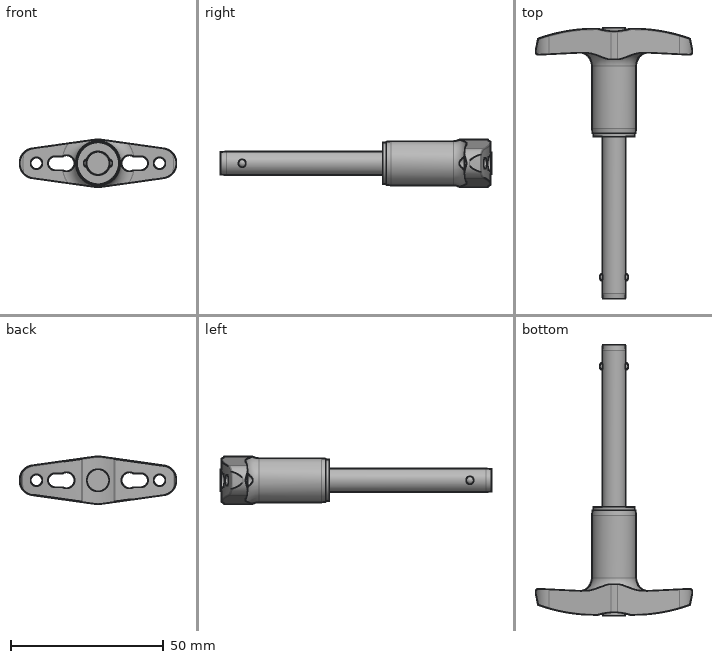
import cadquery as cq
import math


pin_radius = 3.9
pin_length = 53.2
tip_radius = 3.7
tip_length = 1.9
ball_radius = 1.3
ball_reach = 4.7
ball_y = -46.1

sleeve_radius = 7.3
collar_radius = 6.85
collar_length = 1.2
taper_radius = 7.1
taper_end_y = 2.8
flare_radius = 4.4
flare_start_y = 23.2

back_y = 35.8
button_radius = 3.65
center_width = 15.75
end_radius = 5.0
handle_length = 51.5

crest_x = 6.2
crest_y = back_y - 0.3
crown_radius = 54.3
valley_edge_x = 5.3
valley_y = back_y - 1.2
crest_blend = 1.3
back_rim_fillet = 0.3

underside_slope = 0.055
top_radius = 25.0
end_draft = 0.2
end_corner_radius = 1.1

slot_radius = 2.2
slot_outer_x = 14.15
slot_bore_radius = 2.6
slot_bore_x = 10.3
lanyard_hole_radius = 1.9
lanyard_hole_x = 20.2

center_radius = center_width / 2
half_length = handle_length / 2
end_x = half_length - end_radius


def cylinder_y(radius, height, x):
    """Cylinder from Y = 0 toward +Y, with its axis at the given X."""
    return cq.Workplane("XZ").center(x, 0).circle(radius).extrude(-height)


def revolve_about_pin_axis(profile):
    return profile.close().revolve(360, (0, 0, 0), (0, 1, 0))


def crown_y(x):
    """Y of the crowned back at a distance from the middle of the handle."""
    return crest_y - crown_radius + math.sqrt(crown_radius**2 - (x - crest_x) ** 2)


def make_plan_prism():
    """Tangent outline around one large and two small circles, through the whole handle depth."""
    lean = math.asin((center_radius - end_radius) / end_x)
    near_x = center_radius * math.sin(lean)
    near_z = center_radius * math.cos(lean)
    far_x = end_x + end_radius * math.sin(lean)
    far_z = end_radius * math.cos(lean)
    return (
        cq.Workplane("XZ")
        .moveTo(-near_x, near_z)
        .threePointArc((0, center_radius), (near_x, near_z))
        .lineTo(far_x, far_z)
        .threePointArc((half_length, 0), (far_x, -far_z))
        .lineTo(near_x, -near_z)
        .threePointArc((0, -center_radius), (-near_x, -near_z))
        .lineTo(-far_x, -far_z)
        .threePointArc((-half_length, 0), (-far_x, far_z))
        .close()
        .extrude(-back_y)
    )


def make_crown_prism():
    """Everything below the crowned back, with a thumb valley between two crests."""
    crown_end_y = crown_y(half_length)
    mid_x = (crest_x + half_length) / 2
    valley_edge_y = crown_y(valley_edge_x)
    prism = (
        cq.Workplane("XY")
        .moveTo(-half_length, 0)
        .lineTo(-half_length, crown_end_y)
        .threePointArc((-mid_x, crown_y(mid_x)), (-valley_edge_x, valley_edge_y))
        .threePointArc((0, valley_y), (valley_edge_x, valley_edge_y))
        .threePointArc((mid_x, crown_y(mid_x)), (half_length, crown_end_y))
        .lineTo(half_length, 0)
        .close()
        .extrude(center_radius, both=True)
    )
    for side in (-1, 1):
        crest = cq.selectors.NearestToPointSelector((side * valley_edge_x, valley_edge_y, 0))
        prism = prism.edges("|Z").edges(crest).fillet(crest_blend)
    return prism


def make_turned_blank():
    """Disc with a conical underside that flares out of the sleeve, and a drafted, rounded rim."""
    lean = math.atan(underside_slope)
    flare_center_x = sleeve_radius + flare_radius
    flare_end_x = flare_center_x + flare_radius * math.sin(lean)
    flare_end_y = flare_start_y + flare_radius * math.cos(lean)
    flare_mid_offset = flare_radius * math.sqrt(0.5)

    top_x = top_radius - end_draft * (back_y - crown_y(top_radius))
    straight_down_drop = back_y - flare_end_y + underside_slope * (top_x - flare_end_x)
    corner_drop = straight_down_drop / (1 - end_draft * underside_slope)
    corner_x = top_x + end_draft * corner_drop
    corner_y = back_y - corner_drop

    profile = (
        cq.Workplane("XY")
        .moveTo(0, flare_start_y)
        .lineTo(sleeve_radius, flare_start_y)
        .threePointArc(
            (flare_center_x - flare_mid_offset, flare_start_y + flare_mid_offset),
            (flare_end_x, flare_end_y),
        )
        .lineTo(corner_x, corner_y)
        .lineTo(top_x, back_y)
        .lineTo(0, back_y)
    )
    rim_center = cq.selectors.NearestToPointSelector((0, corner_y, 0))
    blank = revolve_about_pin_axis(profile)
    return blank.edges("%CIRCLE").edges(rim_center).fillet(end_corner_radius)


def make_handle():
    handle = make_turned_blank().intersect(make_plan_prism()).intersect(make_crown_prism())
    back_region = cq.selectors.BoxSelector(
        (-half_length, crown_y(half_length), -center_width),
        (half_length, back_y, center_width),
    )
    handle = handle.edges(back_region).edges("not |Z").fillet(back_rim_fillet)
    for side in (-1, 1):
        slot_center = side * (slot_bore_x + slot_outer_x) / 2
        slot_length = slot_outer_x - slot_bore_x + 2 * slot_radius
        slot = (
            cq.Workplane("XZ")
            .center(slot_center, 0)
            .slot2D(slot_length, 2 * slot_radius)
            .extrude(-back_y)
        )
        bore = cylinder_y(slot_bore_radius, back_y, side * slot_bore_x)
        hole = cylinder_y(lanyard_hole_radius, back_y, side * lanyard_hole_x)
        handle = handle.cut(slot).cut(bore).cut(hole)
    return handle


def make_shank():
    """Pin, sleeve and push button as one stepped turned body."""
    pin_end_y = -pin_length
    profile = cq.Workplane("XY").polyline(
        [
            (0, pin_end_y),
            (tip_radius, pin_end_y),
            (pin_radius, pin_end_y + tip_length),
            (pin_radius, 0),
            (collar_radius, 0),
            (collar_radius, collar_length),
            (taper_radius, collar_length),
            (sleeve_radius, taper_end_y),
            (sleeve_radius, flare_start_y),
            (button_radius, flare_start_y),
            (button_radius, back_y),
            (0, back_y),
        ]
    )
    return revolve_about_pin_axis(profile)


def make_balls():
    ball_x = ball_reach - ball_radius
    balls = cq.Workplane("XY").pushPoints([(-ball_x, ball_y), (ball_x, ball_y)])
    return balls.sphere(ball_radius)


result = make_handle().union(make_shank()).union(make_balls())